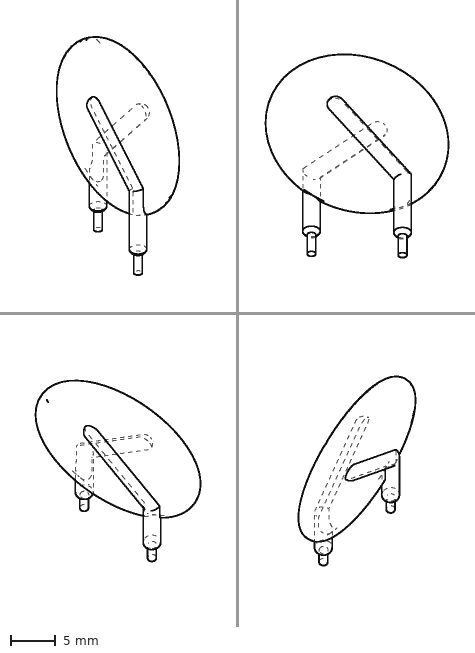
import cadquery as cq

disc_diameter = 21.0
disc_thickness = 2.1
disc_edge_radius = 1.0

lead_radius = 1.0
pin_radius = lead_radius / 2
lead_x = 5.0
lead_y = disc_thickness / 2
front_bend_z = -5.4
back_bend_z = -5.95
tip_x = 2.7
front_tip_z = 1.84
back_tip_z = 2.75
overall_height = 27.0
pin_end_z = disc_diameter / 2 - overall_height
pin_length = 2.6
taper_length = lead_radius - pin_radius
taper_arc_radius = 0.95


def make_disc():
    blank = cq.Workplane("XZ").circle(disc_diameter / 2).extrude(disc_thickness / 2, both=True)
    return blank.edges().fillet(disc_edge_radius)


def make_lead(side, bend_z, tip_z):
    """Lead on the front (side = -1) or back (side = 1), bent across the disc to a domed tip."""
    foot_x = -side * lead_x
    end_x = side * tip_x
    y = side * lead_y
    taper_end_z = pin_end_z + pin_length
    sleeve_end_z = taper_end_z + taper_length

    path = (
        cq.Workplane("XZ", origin=(0, y, 0))
        .moveTo(foot_x, sleeve_end_z)
        .lineTo(foot_x, bend_z)
        .lineTo(end_x, tip_z)
    )
    sleeve = (
        cq.Workplane("XY", origin=(foot_x, y, sleeve_end_z))
        .circle(lead_radius)
        .sweep(path, transition="right")
    )
    dome = cq.Workplane("XY", origin=(end_x, y, tip_z)).sphere(lead_radius)

    end_profile = (
        cq.Workplane("XZ", origin=(foot_x, y, 0))
        .moveTo(0, pin_end_z)
        .lineTo(pin_radius, pin_end_z)
        .lineTo(pin_radius, taper_end_z)
        .radiusArc((lead_radius, sleeve_end_z), -taper_arc_radius)
        .lineTo(0, sleeve_end_z)
        .close()
    )
    pin = end_profile.revolve(360, (0, 0, 0), (0, 1, 0))
    return sleeve.union(dome).union(pin)


front_lead = make_lead(-1, front_bend_z, front_tip_z)
back_lead = make_lead(1, back_bend_z, back_tip_z)
result = make_disc().union(front_lead).union(back_lead)